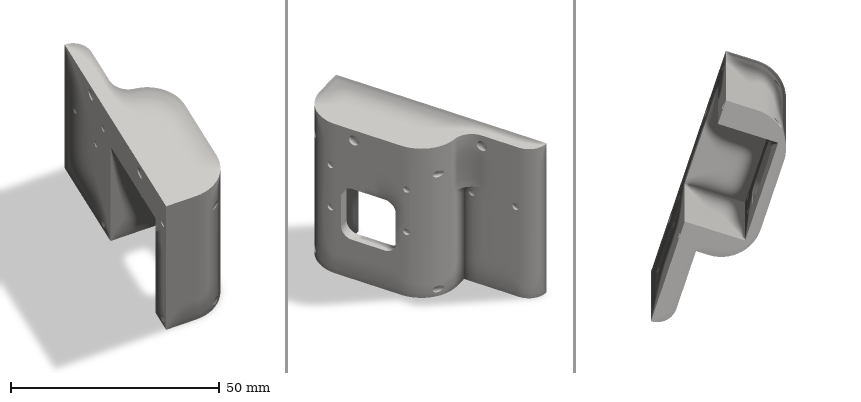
import cadquery as cq
import math

length = 58.0
depth = 18.0
height = 44.0

plate_thickness = 4.9
housing_left = 20.0
housing_radius = 10.0
blend_radius = 5.0
blend_bottom = 28.5

housing_centre = (housing_left + length) / 2
pocket_width = 25.65
pocket_height = 33.75
pocket_depth = 15.25
window_size = 15.0
window_corner_radius = 3.0
window_centre_z = 19.0

small_diameter = 1.8
large_diameter = 2.8
large_spacing = 27.95
large_z = 41.0
frame_spacing = 33.95
frame_bottom_z = 2.05
inner_spacing = 20.95
inner_low_z = window_centre_z
inner_high_z = 31.5
plate_hole_xs = (5.8, 17.8)
plate_hole_z = 26.3


def make_plate():
    """Thin plate with its free edge rounded over the full thickness."""
    corner = plate_thickness * (1 - math.sqrt(0.5))
    return (
        cq.Workplane("XY")
        .moveTo(0, 0)
        .threePointArc((corner, plate_thickness - corner), (plate_thickness, plate_thickness))
        .lineTo(length, plate_thickness)
        .lineTo(length, 0)
        .close()
        .extrude(height)
    )


def make_housing():
    """Thick block with both back edges rounded."""
    return (
        cq.Workplane("XY")
        .box(length - housing_left, depth, height, centered=False)
        .translate((housing_left, 0, 0))
        .edges("|Z and >Y")
        .fillet(housing_radius)
    )


def make_blend():
    """Concave fill tangent to the plate back and to the housing's rounded corner."""
    round_x = housing_left + housing_radius
    round_y = depth - housing_radius
    blend_y = plate_thickness + blend_radius
    centre_distance = housing_radius + blend_radius
    tilt = math.asin((blend_y - round_y) / centre_distance)
    blend_x = round_x - centre_distance * math.cos(tilt)
    tangent = (
        blend_x + blend_radius * math.cos(tilt),
        blend_y - blend_radius * math.sin(tilt),
    )
    middle_angle = (tilt + math.pi / 2) / 2
    middle = (
        blend_x + blend_radius * math.cos(middle_angle),
        blend_y - blend_radius * math.sin(middle_angle),
    )
    return (
        cq.Workplane("XY", origin=(0, 0, blend_bottom))
        .moveTo(blend_x, plate_thickness)
        .threePointArc(middle, tangent)
        .lineTo(round_x, tangent[1])
        .lineTo(round_x, 0)
        .lineTo(blend_x, 0)
        .close()
        .extrude(height - blend_bottom)
    )


def make_pocket():
    """Pocket open at the front and at the bottom."""
    return (
        cq.Workplane("XY")
        .box(pocket_width, pocket_depth, pocket_height, centered=(True, False, False))
        .translate((housing_centre, 0, 0))
    )


def make_window():
    """Rounded square opening through the pocket's back wall."""
    return (
        cq.Workplane("XY")
        .box(window_size, depth, window_size, centered=(True, False, True))
        .edges("|Y")
        .fillet(window_corner_radius)
        .translate((housing_centre, 0, window_centre_z))
    )


def make_holes(points, diameter):
    """Round holes along Y through the whole depth, at (x, z) points."""
    return cq.Workplane("XZ").pushPoints(points).circle(diameter / 2).extrude(-depth)


def pair(centre, spacing, z):
    """Two (x, z) points at one height, evenly placed about a centre."""
    return [(centre - spacing / 2, z), (centre + spacing / 2, z)]


small_points = (
    pair(housing_centre, frame_spacing, frame_bottom_z)
    + pair(housing_centre, frame_spacing, frame_bottom_z + frame_spacing)
    + pair(housing_centre, inner_spacing, inner_low_z)
    + pair(housing_centre, inner_spacing, inner_high_z)
    + [(x, plate_hole_z) for x in plate_hole_xs]
)
large_points = pair(length / 2, large_spacing, large_z)

body = make_plate().union(make_housing()).union(make_blend())
body = body.cut(make_pocket()).cut(make_window())
result = body.cut(make_holes(small_points, small_diameter)).cut(make_holes(large_points, large_diameter))